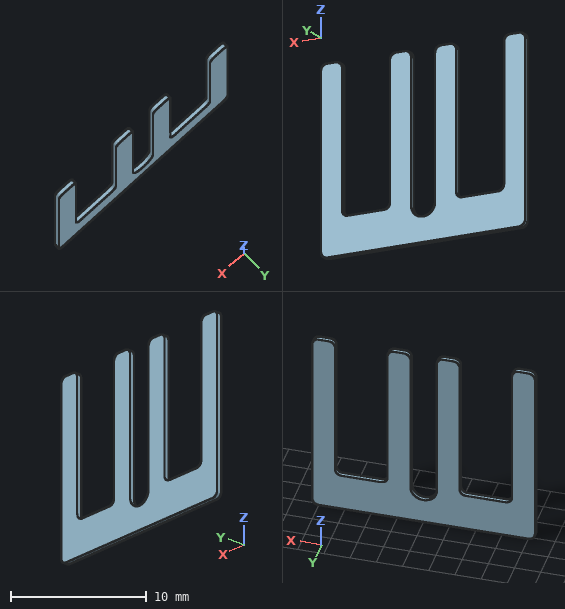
import cadquery as cq

width = 17.0
height = 15.0
thickness = 0.4
side_gap_width = 4.0
center_slot_width = 2.0
base_height = 3.0
corner_radius = 0.5

tine_width = (width - 2 * side_gap_width - center_slot_width) / 4
side_gap_offset = center_slot_width / 2 + tine_width + side_gap_width / 2


def gap_cutter(x_center, gap_width, floor_radius):
    """Gap open at the tine tips, with its two floor corners rounded."""
    left = x_center - gap_width / 2
    right = x_center + gap_width / 2
    return (
        cq.Workplane("XZ")
        .moveTo(left, height)
        .lineTo(left, base_height)
        .lineTo(right, base_height)
        .lineTo(right, height)
        .close()
        .extrude(thickness / 2, both=True)
        .edges("|Y and <Z")
        .fillet(floor_radius)
    )


def center_slot_cutter():
    """Middle slot with a full semicircular end."""
    radius = center_slot_width / 2
    return (
        cq.Workplane("XZ")
        .moveTo(-radius, height)
        .lineTo(-radius, base_height)
        .threePointArc((0, base_height - radius), (radius, base_height))
        .lineTo(radius, height)
        .close()
        .extrude(thickness / 2, both=True)
    )


plate = cq.Workplane("XY").box(width, thickness, height, centered=(True, True, False))

for side in (-1, 1):
    plate = plate.cut(gap_cutter(side * side_gap_offset, side_gap_width, corner_radius))
plate = plate.cut(center_slot_cutter())

plate = plate.edges("|Y and >Z").fillet(corner_radius)
result = plate.edges("|Y and <Z").fillet(corner_radius)